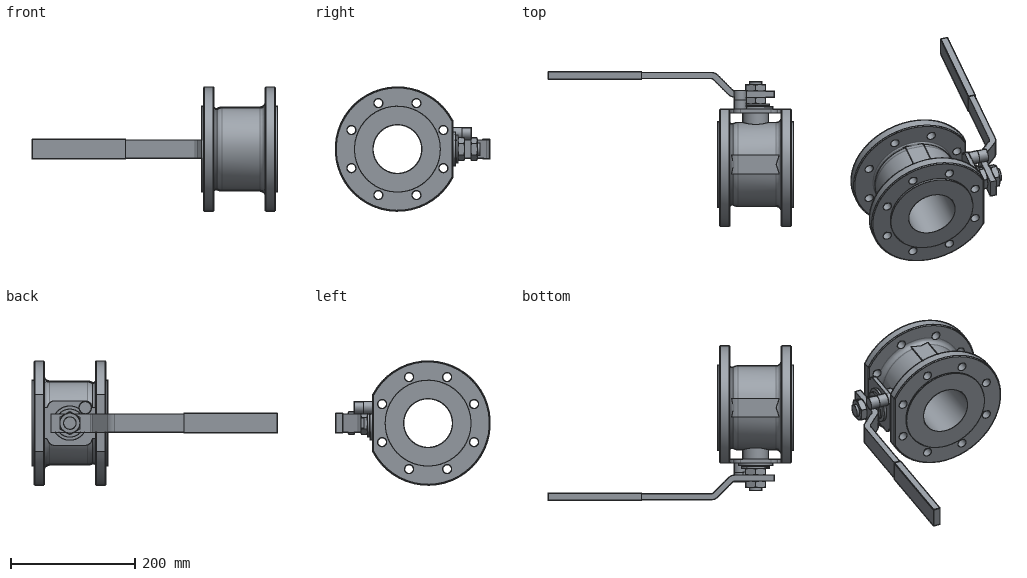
import cadquery as cq
import math


bore_dia = 78.0
face_to_face = 122.0
raised_face_dia = 138.0
flange_dia = 200.0
left_flange_thickness = 17.0
right_flange_thickness = 16.2
flange_gap = 82.0
flange_chamfer = 1.6
flange_flat_y = 89.0
bolt_circle_dia = 160.0
bolt_hole_dia = 14.0
bolt_count = 8
body_radius = 67.7
shoulder_start_x = -28.0
shoulder_radius = 17.0
neck_radius = 65.5
neck_fillet = 2.0
body_right_fillet = 8.0
side_flat_width = 30.0
flange_inner_x = flange_gap / 2
left_flange_x = -flange_inner_x - left_flange_thickness

stem_neck_dia = 42.0
pad_thickness = 6.5
pad_hole_circle_dia = 70.0
pad_corner_radius = 11.0
pad_bridge_fillet = 4.0
pad_screw_offset = pad_hole_circle_dia / 2 * math.sin(math.radians(45))
pad_side = 2 * (pad_screw_offset + pad_corner_radius)
pad_bridge_width = 2 * pad_screw_offset

bar_thickness = 10.0
bar_width = 30.0
bar_lower_y = 108.0
bar_rise = 30.0
bar_right_x = 30.0
bend_angle = 45.0
bend_inner_radius = 5.0
bend_start_x = -71.5
grip_left_x = face_to_face / 2 - 395.0
grip_length = 150.5
grip_wall = 1.13
grip_chamfer = 0.8

tab_left_x = -20.0
tab_width = 16.0
tab_bottom_y = 103.0

gland_dia = 55.0
gland_top_y = 93.0
spacer_dia = 27.5
washer_dia = 45.0
washer_bottom_y = 94.5
washer_top_y = 97.5
nut_across_flats = 32.0
nut_top_y = 128.5
nut_chamfer = 1.2
stem_tip_dia = 20.0
stem_top_y = 133.0

pin_base_dia = 20.0
pin_head_dia = 19.5
pin_split_y = 104.0
pin_top_y = 119.0


def cylinder_y(diameter, y_bottom, y_top, x=0.0, z=0.0):
    """Cylinder along Y between two heights."""
    plane = cq.Workplane("XZ", origin=(x, y_bottom, z))
    return plane.circle(diameter / 2).extrude(y_bottom - y_top)


def cylinder_x(diameter, x_start, x_end):
    """Cylinder on the bore axis between two X positions."""
    return cq.Workplane("YZ", origin=(x_start, 0, 0)).circle(diameter / 2).extrude(x_end - x_start)


def make_flange(x_start, thickness):
    """Disc with a flat on the stem side and chamfered rims."""
    disc = cylinder_x(flange_dia, x_start, x_start + thickness)
    trim_box = cq.Workplane("XY").box(2 * thickness, flange_dia, flange_dia)
    trim = trim_box.translate((x_start, flange_flat_y + flange_dia / 2, 0))
    return disc.cut(trim).faces("<X or >X").edges().chamfer(flange_chamfer)


def shoulder_point(drop):
    """Point on the left shoulder arc that lies the given depth below the body surface."""
    run = math.sqrt(shoulder_radius**2 - (shoulder_radius - drop) ** 2)
    return (shoulder_start_x - run, body_radius - drop)


def make_barrel():
    """Turned body between the flanges, with a rounded left shoulder and a right fillet."""
    shoulder_drop = body_radius - neck_radius
    left_arc_reach = neck_fillet * (1 - math.sin(math.radians(45)))
    right_arc_reach = body_right_fillet * (1 - math.sin(math.radians(45)))
    profile = (
        cq.Workplane("XY")
        .moveTo(-flange_inner_x, 0)
        .lineTo(-flange_inner_x, neck_radius + neck_fillet)
        .threePointArc(
            (-flange_inner_x + left_arc_reach, neck_radius + left_arc_reach),
            (-flange_inner_x + neck_fillet, neck_radius),
        )
        .lineTo(*shoulder_point(shoulder_drop))
        .threePointArc(shoulder_point(shoulder_drop / 4), (shoulder_start_x, body_radius))
        .lineTo(flange_inner_x - body_right_fillet, body_radius)
        .threePointArc(
            (flange_inner_x - right_arc_reach, body_radius + right_arc_reach),
            (flange_inner_x, body_radius + body_right_fillet),
        )
        .lineTo(flange_inner_x, 0)
        .close()
    )
    return profile.revolve(360, (0, 0, 0), (1, 0, 0))


def make_side_flats():
    """Flats tangent to the body at +Z and -Z, rounded down to the neck like its shoulder."""
    edge_drop = body_radius - math.sqrt(neck_radius**2 - (side_flat_width / 2) ** 2)
    arc_end = shoulder_point(edge_drop)
    upper = (
        cq.Workplane("XZ")
        .moveTo(arc_end[0], 0)
        .lineTo(*arc_end)
        .threePointArc(shoulder_point(edge_drop / 4), (shoulder_start_x, body_radius))
        .lineTo(flange_inner_x, body_radius)
        .lineTo(flange_inner_x, 0)
        .close()
        .extrude(side_flat_width / 2, both=True)
    )
    return upper.union(upper.mirror("XY"))


def make_pad():
    """Rounded square pad joined to both flanges by filleted bridges."""
    plane = cq.Workplane("XZ", origin=(0, flange_flat_y, 0))
    square = plane.rect(pad_side, pad_side).extrude(pad_thickness).edges("|Y").fillet(pad_corner_radius)
    bridge = plane.rect(2 * flange_inner_x, pad_bridge_width).extrude(pad_thickness)
    pad = square.union(bridge)
    for x in (-pad_side / 2, pad_side / 2):
        for z in (-pad_bridge_width / 2, pad_bridge_width / 2):
            corner = (x, flange_flat_y - pad_thickness / 2, z)
            pad = pad.edges(cq.selectors.NearestToPointSelector(corner)).fillet(pad_bridge_fillet)
    return pad


def make_nut(y_bottom, y_top):
    """Hexagonal nut with a corner towards +Z and bevelled corners at both ends."""
    across_corners = nut_across_flats / math.cos(math.radians(30))
    hexagon = (
        cq.Workplane("XZ", origin=(0, y_bottom, 0))
        .transformed(rotate=(0, 0, 90))
        .polygon(6, across_corners)
        .extrude(y_bottom - y_top)
    )
    envelope = cylinder_y(across_corners, y_bottom, y_top).edges().chamfer(nut_chamfer, 2 * nut_chamfer)
    return hexagon.intersect(envelope)


def make_stem_stack():
    """Gland, spacer, washer, two nuts around the handle, and the stem tip."""
    stack = cylinder_y(gland_dia, flange_flat_y - pad_thickness / 2, gland_top_y)
    stack = stack.union(cylinder_y(spacer_dia, gland_top_y, washer_bottom_y))
    stack = stack.union(cylinder_y(washer_dia, washer_bottom_y, washer_top_y))
    stack = stack.union(make_nut(washer_top_y, bar_lower_y))
    stack = stack.union(make_nut(bar_lower_y + bar_thickness, nut_top_y))
    return stack.union(cylinder_y(stem_tip_dia, gland_top_y, stem_top_y))


def make_handle():
    """Flat bar with two opposite bends, carrying a sleeve grip at its free end."""
    mid_radius = bend_inner_radius + bar_thickness / 2
    bend = math.radians(bend_angle)
    bend_drop = mid_radius * (1 - math.cos(bend))
    bend_run = mid_radius * math.sin(bend)
    slope_drop = bar_rise - 2 * bend_drop
    slope_run = slope_drop / math.tan(bend)
    upper_y = bar_lower_y + bar_rise + bar_thickness / 2
    lower_y = upper_y - bar_rise
    slope_start = (bend_start_x + bend_run, upper_y - bend_drop)
    slope_end = (slope_start[0] + slope_run, lower_y + bend_drop)
    lower_start = (slope_end[0] + bend_run, lower_y)
    path = (
        cq.Workplane("XY")
        .moveTo(grip_left_x + grip_wall, upper_y)
        .lineTo(bend_start_x, upper_y)
        .tangentArcPoint(slope_start, relative=False)
        .lineTo(*slope_end)
        .tangentArcPoint(lower_start, relative=False)
        .lineTo(bar_right_x, lower_y)
    )
    section = cq.Workplane("YZ", origin=(grip_left_x + grip_wall, upper_y, 0))
    bar = section.rect(bar_thickness, bar_width).sweep(path)
    grip = (
        cq.Workplane("XY")
        .box(grip_length, bar_thickness + 2 * grip_wall, bar_width + 2 * grip_wall)
        .edges("|X or <X")
        .chamfer(grip_chamfer)
        .translate((grip_left_x + grip_length / 2, upper_y, 0))
    )
    return bar.union(grip)


def make_tab():
    """Small block under the handle bar, against the lower nut."""
    height = bar_lower_y - tab_bottom_y
    block = cq.Workplane("XY").box(-tab_left_x, height, tab_width)
    return block.translate((tab_left_x / 2, tab_bottom_y + height / 2, 0))


def make_stop_pin():
    """Two-diameter pin standing on one corner of the pad."""
    x, z = -pad_screw_offset, pad_screw_offset
    base = cylinder_y(pin_base_dia, flange_flat_y - pad_thickness / 2, pin_split_y, x, z)
    return base.union(cylinder_y(pin_head_dia, pin_split_y, pin_top_y, x, z))


def make_bolt_holes():
    """Bolt holes straddling the axes, through both flanges."""
    return (
        cq.Workplane("YZ", origin=(-face_to_face / 2, 0, 0))
        .polarArray(bolt_circle_dia / 2, 180 / bolt_count, 360, bolt_count)
        .circle(bolt_hole_dia / 2)
        .extrude(face_to_face)
    )


left_flange = make_flange(left_flange_x, left_flange_thickness)
right_flange = make_flange(flange_inner_x, right_flange_thickness)
body = make_barrel().union(make_side_flats()).union(left_flange).union(right_flange)
body = body.union(cylinder_x(raised_face_dia, -face_to_face / 2, -flange_inner_x - flange_chamfer))
body = body.union(cylinder_x(raised_face_dia, flange_inner_x + flange_chamfer, face_to_face / 2))
body = body.union(cylinder_y(stem_neck_dia, bore_dia / 2, flange_flat_y)).union(make_pad())
body = body.cut(cylinder_x(bore_dia, -face_to_face / 2, face_to_face / 2)).cut(make_bolt_holes())
result = body.union(make_stem_stack()).union(make_stop_pin()).union(make_handle()).union(make_tab())